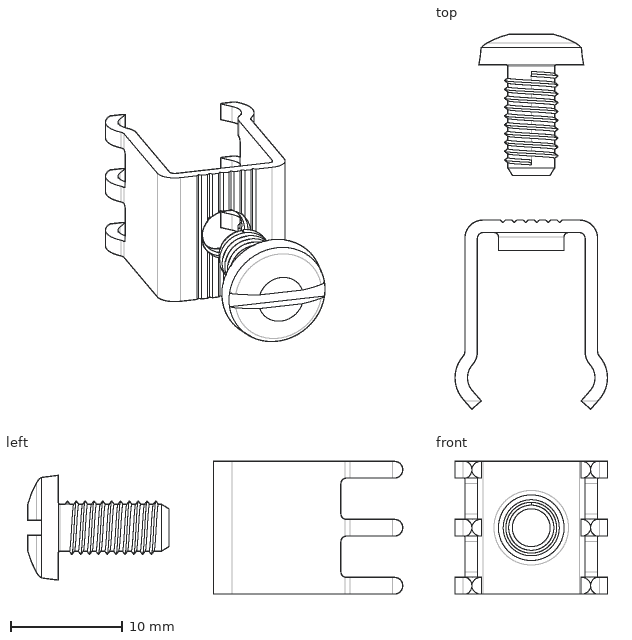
import cadquery as cq
import math

clip_width = 11.94
clip_height = 11.94
clip_depth = 17.0
overall_depth = 33.68
overall_width = 13.71
strip_thickness = 1.143
back_bend_inner_radius = 0.508
back_bend_outer_radius = back_bend_inner_radius + strip_thickness
half_width = clip_width / 2

finger_count = 3
finger_width = 1.524
finger_pitch = (clip_height - finger_width) / (finger_count - 1)
finger_tip_radius = finger_width / 2
finger_root_depth = 11.45
finger_root_fillet = 0.48
finger_bend_depth = 11.82
finger_bend_angle = math.radians(41.3)
bulge = (overall_width - clip_width) / 2
bend_radius_sum = bulge / (1 - math.cos(finger_bend_angle))
bulge_outer_radius = 2.92
outward_bend_radius = bend_radius_sum - bulge_outer_radius

groove_count = 6
groove_pitch = 1.016
groove_depth = 0.23

boss_radius = 2.95
boss_depth = 2.75
boss_base_fillet = 0.4
bore_radius = 2.28
bore_chamfer = 0.24
bore_thread_height = 0.25
bore_thread_turns = 2

thread_pitch = 0.794
thread_base = 0.45
thread_overlap = 0.05

head_underside_y = 13.92
head_height = overall_depth - clip_depth - head_underside_y
head_base_radius = 4.72
head_edge_radius = 4.52
head_top_radius = 2.1
dome_radius = 8.2
dome_edge_radius = 4.06
slot_width = 1.32
slot_depth = 1.22
shank_length = 9.93
shank_radius = 2.12
neck_fillet = 0.15
tip_radius = 1.7
tip_length = 0.68
screw_thread_height = 0.29
screw_thread_start = 0.81
screw_thread_turns = 10


def along_minus_y(y):
    """Frame at height y on the Y axis: local Z points to -Y and local X points to +Z."""
    return cq.Plane(origin=(0, y, 0), xDir=(0, 0, 1), normal=(0, -1, 0))


def thread_ridge(surface_radius, height, start, turns):
    """Left-hand triangular ridge on a cylinder about Z; a negative height points it inwards."""
    buried_radius = surface_radius - math.copysign(thread_overlap, height)
    buried_half = thread_base / 2 * (1 + thread_overlap / abs(height))
    helix = cq.Wire.makeHelix(thread_pitch, turns * thread_pitch, surface_radius, lefthand=True)
    crest = (surface_radius + height, 0)
    ridge = (
        cq.Workplane("XZ")
        .polyline([(buried_radius, -buried_half), crest, (buried_radius, buried_half)])
        .close()
        .sweep(cq.Workplane(helix), isFrenet=True)
    )
    return ridge.translate((0, 0, start))


def half_strip():
    """The +X half of the bent strip, as its XY outline raised over the clip height."""
    sin_bend = math.sin(finger_bend_angle)
    cos_bend = math.cos(finger_bend_angle)
    sin_half = math.sin(finger_bend_angle / 2)
    cos_half = math.cos(finger_bend_angle / 2)
    inner_half_width = half_width - strip_thickness
    outward_bend_x = half_width + outward_bend_radius
    bulge_x = outward_bend_x - bend_radius_sum * cos_bend
    bulge_y = -finger_bend_depth - bend_radius_sum * sin_bend
    bulge_inner_radius = bulge_outer_radius - strip_thickness
    bend_inner_radius = outward_bend_radius + strip_thickness
    bulge_end_depth = -bulge_y + bulge_outer_radius * sin_bend
    tip_straight_length = (clip_depth - bulge_end_depth) / cos_bend
    back_bend_x = half_width - back_bend_outer_radius
    diagonal = math.sqrt(0.5)

    def bend_point(radius, sin_turn, cos_turn):
        return (outward_bend_x - radius * cos_turn, -finger_bend_depth - radius * sin_turn)

    def bulge_point(radius, side):
        return (bulge_x + radius * cos_bend, bulge_y + side * radius * sin_bend)

    def tip_point(radius):
        x, y = bulge_point(radius, -1)
        return (x - tip_straight_length * sin_bend, y - tip_straight_length * cos_bend)

    def back_bend_point(radius):
        return (back_bend_x + radius * diagonal, -back_bend_outer_radius + radius * diagonal)

    return (
        cq.Workplane("XY", origin=(0, 0, -clip_height / 2))
        .lineTo(back_bend_x, 0)
        .threePointArc(back_bend_point(back_bend_outer_radius), (half_width, -back_bend_outer_radius))
        .lineTo(half_width, -finger_bend_depth)
        .threePointArc(
            bend_point(outward_bend_radius, sin_half, cos_half),
            bend_point(outward_bend_radius, sin_bend, cos_bend),
        )
        .threePointArc((bulge_x + bulge_outer_radius, bulge_y), bulge_point(bulge_outer_radius, -1))
        .lineTo(*tip_point(bulge_outer_radius))
        .lineTo(*tip_point(bulge_inner_radius))
        .lineTo(*bulge_point(bulge_inner_radius, -1))
        .threePointArc((bulge_x + bulge_inner_radius, bulge_y), bulge_point(bulge_inner_radius, 1))
        .threePointArc(
            bend_point(bend_inner_radius, sin_half, cos_half),
            (inner_half_width, -finger_bend_depth),
        )
        .lineTo(inner_half_width, -back_bend_outer_radius)
        .threePointArc(back_bend_point(back_bend_inner_radius), (back_bend_x, -strip_thickness))
        .lineTo(0, -strip_thickness)
        .close()
        .extrude(clip_height)
    )


def finger_comb():
    """Block with the side outline of the clip: a plate ending in round-tipped fingers."""
    plate = cq.Workplane("XY").box(overall_width, finger_root_depth, clip_height)
    comb = plate.translate((0, -finger_root_depth / 2, 0))
    straight_depth = clip_depth - finger_tip_radius
    for index in range(finger_count):
        z = (index - (finger_count - 1) / 2) * finger_pitch
        finger = cq.Workplane("XY").box(overall_width, straight_depth, finger_width)
        tip = cq.Workplane("YZ").circle(finger_tip_radius).extrude(overall_width / 2, both=True)
        comb = comb.union(finger.translate((0, -straight_depth / 2, z)))
        comb = comb.union(tip.translate((0, -straight_depth, z)))
    roots = cq.selectors.BoxSelector(
        (-overall_width, -finger_root_depth - finger_root_fillet / 2, -clip_height),
        (overall_width, -finger_root_depth + finger_root_fillet / 2, clip_height),
    )
    return comb.edges(roots).edges("|X").fillet(finger_root_fillet)


def serrations():
    grooves = cq.Workplane("XY", origin=(0, 0, -clip_height / 2))
    for index in range(groove_count):
        x = (index - (groove_count - 1) / 2) * groove_pitch
        groove_outline = [(x - groove_depth, 0), (x, -groove_depth), (x + groove_depth, 0)]
        grooves = grooves.polyline(groove_outline).close()
    return grooves.extrude(clip_height)


def boss():
    """Boss about local Z, from the inner face of the back down to its rim, flared at the base."""
    return (
        cq.Workplane("XZ")
        .moveTo(0, strip_thickness)
        .lineTo(boss_radius + boss_base_fillet, strip_thickness)
        .radiusArc((boss_radius, strip_thickness + boss_base_fillet), boss_base_fillet)
        .lineTo(boss_radius, boss_depth)
        .lineTo(0, boss_depth)
        .close()
        .revolve(360, (0, 0), (0, 1))
    )


def bore():
    """Bore about local Z, with a chamfered mouth at the boss rim and the thread ridge left standing."""
    hole = (
        cq.Workplane("XZ")
        .lineTo(bore_radius, 0)
        .lineTo(bore_radius, boss_depth - bore_chamfer)
        .lineTo(bore_radius + bore_chamfer, boss_depth)
        .lineTo(0, boss_depth)
        .close()
        .revolve(360, (0, 0), (0, 1))
    )
    thread_start = groove_depth + thread_base / 2
    return hole.cut(thread_ridge(bore_radius, -bore_thread_height, thread_start, bore_thread_turns))


def make_clip():
    half = half_strip()
    strip = half.union(half.mirror("YZ")).intersect(finger_comb())
    frame = along_minus_y(0).location
    with_boss = strip.union(cq.Workplane(boss().val().moved(frame)))
    return with_boss.cut(serrations()).cut(cq.Workplane(bore().val().moved(frame)))


def screw_blank():
    """Head and shank about local Z, with the underside of the head at zero."""
    dome_center = -head_height + math.sqrt(dome_radius**2 - head_top_radius**2)
    dome_mid_radius = (head_top_radius + dome_edge_radius) / 2

    def dome_point(radius):
        return (radius, dome_center - math.sqrt(dome_radius**2 - radius**2))

    return (
        cq.Workplane("XZ")
        .moveTo(0, -head_height)
        .lineTo(head_top_radius, -head_height)
        .threePointArc(dome_point(dome_mid_radius), dome_point(dome_edge_radius))
        .tangentArcPoint((head_edge_radius, slot_depth - head_height), relative=False)
        .lineTo(head_base_radius, 0)
        .lineTo(shank_radius + neck_fillet, 0)
        .radiusArc((shank_radius, neck_fillet), neck_fillet)
        .lineTo(shank_radius, shank_length - tip_length)
        .lineTo(tip_radius, shank_length)
        .lineTo(0, shank_length)
        .close()
        .revolve(360, (0, 0), (0, 1))
    )


def make_screw():
    slot = (
        cq.Workplane("XY")
        .box(slot_width, 2 * head_base_radius, slot_depth)
        .translate((0, 0, slot_depth / 2 - head_height))
    )
    thread = thread_ridge(shank_radius, screw_thread_height, screw_thread_start, screw_thread_turns)
    body = screw_blank().cut(slot).union(thread)
    return cq.Workplane(body.val().moved(along_minus_y(head_underside_y).location))


clip = make_clip()
screw = make_screw()
result = cq.Compound.makeCompound([*clip.solids().vals(), *screw.solids().vals()])